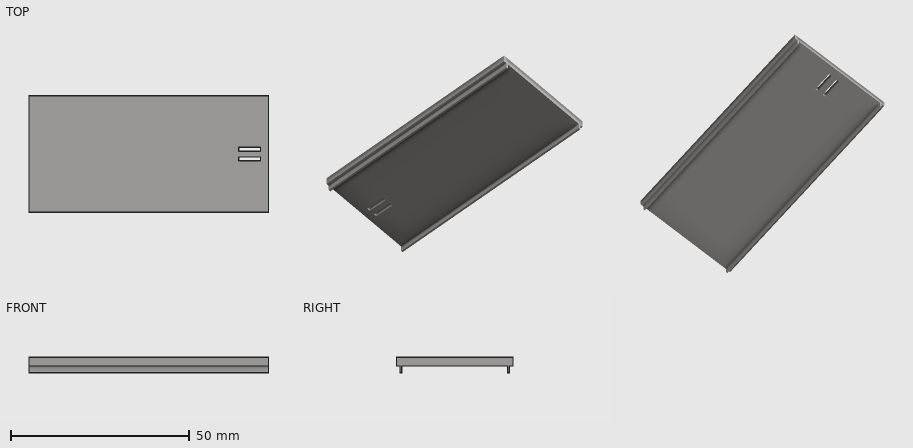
import cadquery as cq

length = 67.25
width = 32.7
total_height = 4.4
plate_thickness = 2.5

rail_thickness = 0.6
rail_inset = 0.95
rail_height = total_height - plate_thickness

slot_length = 6.0
slot_width = 1.0
slot_pitch = 2.7
slot_end_gap = 2.35

plate = cq.Workplane("XY").box(length, width, plate_thickness, centered=(True, True, False))

rail_y = width / 2 - rail_inset - rail_thickness / 2
rails = (
    cq.Workplane("XY")
    .pushPoints([(0, -rail_y), (0, rail_y)])
    .rect(length, rail_thickness)
    .extrude(-rail_height)
)

slot_x = length / 2 - slot_end_gap - slot_length / 2
slots = (
    cq.Workplane("XY")
    .pushPoints([(slot_x, -slot_pitch / 2), (slot_x, slot_pitch / 2)])
    .rect(slot_length, slot_width)
    .extrude(plate_thickness)
)

result = plate.union(rails).cut(slots)